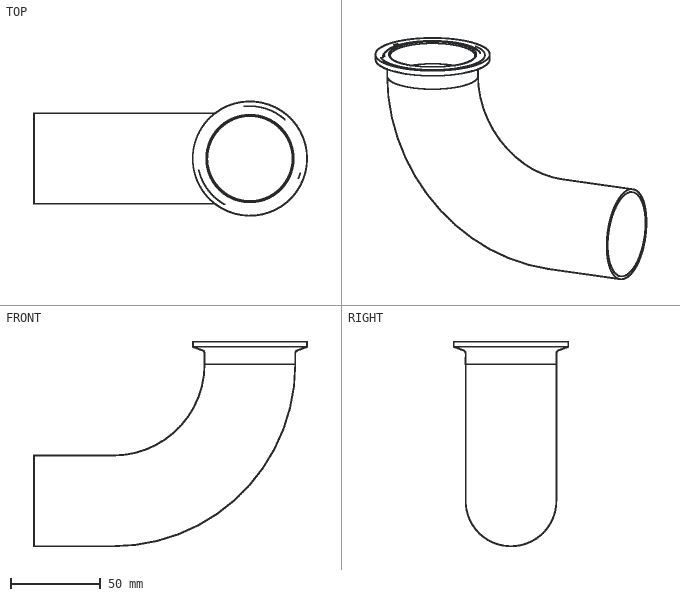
import cadquery as cq
import math

overall_length = 152.6
tube_diameter = 50.8
wall = 1.7
bend_radius = 76.2
flange_diameter = 64.0
ferrule_height = 12.7

rim_height = 2.9
cone_angle = math.radians(20)
neck_fillet = 1.5
bore_edge_chamfer = 0.8
groove_radius = 28.1
groove_half_width = 1.4
groove_depth = 1.0
groove_edge_fillet = 0.9

tube_radius = tube_diameter / 2
bore_radius = tube_radius - wall
flange_radius = flange_diameter / 2
outlet_x = overall_length - flange_radius
straight_length = outlet_x - bend_radius
bend_end_z = bend_radius


def make_elbow():
    """Thin tube: a straight inlet run followed by a quarter bend up to +Z."""
    bend_offset = bend_radius * math.sin(math.radians(45))
    path = (
        cq.Workplane("XZ")
        .lineTo(straight_length, 0)
        .threePointArc(
            (straight_length + bend_offset, bend_radius - bend_offset),
            (outlet_x, bend_end_z),
        )
    )
    return cq.Workplane("YZ").circle(tube_radius).circle(bore_radius).sweep(path)


def make_groove_cutter():
    """Ring with an arc-shaped bottom, standing across the sealing face."""
    groove_ring = (
        cq.Workplane("XZ")
        .moveTo(groove_radius - groove_half_width, ferrule_height)
        .threePointArc(
            (groove_radius, ferrule_height - groove_depth),
            (groove_radius + groove_half_width, ferrule_height),
        )
        .close()
        .revolve(360, (0, 0, 0), (0, 1, 0))
    )
    return groove_ring


def make_ferrule():
    """Clamp ferrule: a neck, a conical clamping face, a rim and a gasket groove."""
    rim_bottom = ferrule_height - rim_height
    cone_bottom = rim_bottom - (flange_radius - tube_radius) * math.tan(cone_angle)
    body = (
        cq.Workplane("XZ")
        .moveTo(bore_radius, 0)
        .lineTo(tube_radius, 0)
        .lineTo(tube_radius, cone_bottom)
        .lineTo(flange_radius, rim_bottom)
        .lineTo(flange_radius, ferrule_height)
        .lineTo(bore_radius + bore_edge_chamfer, ferrule_height)
        .lineTo(bore_radius, ferrule_height - bore_edge_chamfer)
        .close()
        .revolve(360, (0, 0, 0), (0, 1, 0))
    )

    corner_band = cq.selectors.BoxSelector(
        (-flange_diameter, -flange_diameter, cone_bottom - neck_fillet),
        (flange_diameter, flange_diameter, cone_bottom + neck_fillet),
    )
    body = body.edges("%CIRCLE").edges(corner_band).fillet(neck_fillet)

    body = body.cut(make_groove_cutter())
    groove_edges = body.faces(">Z").edges("%CIRCLE").edges(
        cq.selectors.RadiusNthSelector(1) + cq.selectors.RadiusNthSelector(2)
    )
    return groove_edges.fillet(groove_edge_fillet)


elbow = make_elbow()
ferrule = make_ferrule().translate((outlet_x, 0, bend_end_z))

result = cq.Compound.makeCompound([elbow.val(), ferrule.val()])